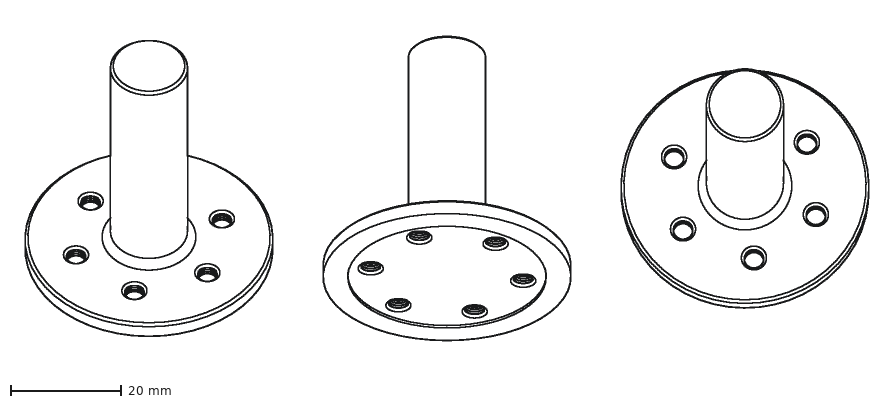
import cadquery as cq
import math

flange_diameter = 45.0
flange_thickness = 3.0
edge_chamfer = 0.5
recess_diameter = 36.0
recess_depth = 0.5

hole_count = 6
bolt_circle_radius = 14.0
thread_minor_diameter = 3.52
thread_major_diameter = 4.1
thread_pitch = 0.5
thread_count = 3
countersink_diameter = 4.55

overall_height = 47
post_diameter = 14.0
foot_height = 1.5


def revolve_profile(points):
    """Revolve a closed outline of (radius, height) points about the Z axis."""
    return cq.Workplane("XZ").polyline(points).close().revolve(360, (0, 0, 0), (0, 1, 0))


def make_hole_cutter():
    """Bore countersunk at both ends, with ring-shaped V grooves as a simple thread."""
    minor_radius = thread_minor_diameter / 2
    major_radius = thread_major_diameter / 2
    countersink_radius = countersink_diameter / 2
    countersink_depth = countersink_radius - minor_radius
    middle = (recess_depth + flange_thickness) / 2
    thread_start = middle - thread_count * thread_pitch / 2

    points = [
        (0, recess_depth),
        (countersink_radius, recess_depth),
        (minor_radius, recess_depth + countersink_depth),
    ]
    for turn in range(thread_count):
        groove_start = thread_start + turn * thread_pitch
        points.append((minor_radius, groove_start))
        points.append((major_radius, groove_start + thread_pitch / 2))
    points += [
        (minor_radius, thread_start + thread_count * thread_pitch),
        (minor_radius, flange_thickness - countersink_depth),
        (countersink_radius, flange_thickness),
        (0, flange_thickness),
    ]
    return revolve_profile(points)


def make_flange():
    """Round plate with a shallow recess underneath and a ring of threaded holes."""
    flange = cq.Workplane("XY").circle(flange_diameter / 2).extrude(flange_thickness)
    flange = flange.faces(">Z").edges().chamfer(edge_chamfer)
    flange = flange.cut(cq.Workplane("XY").circle(recess_diameter / 2).extrude(recess_depth))
    hole_cutter = make_hole_cutter()
    for index in range(hole_count):
        angle = 2 * math.pi * index / hole_count
        x = bolt_circle_radius * math.cos(angle)
        y = bolt_circle_radius * math.sin(angle)
        flange = flange.cut(hole_cutter.translate((x, y, 0)))
    return flange


def make_post():
    """Round post with a 45 degree flared foot that stands on the flange."""
    radius = post_diameter / 2
    return revolve_profile([
        (0, flange_thickness),
        (radius + foot_height, flange_thickness),
        (radius, flange_thickness + foot_height),
        (radius, overall_height - edge_chamfer),
        (radius - edge_chamfer, overall_height),
        (0, overall_height),
    ])


flange = make_flange()
post = make_post()
result = cq.Compound.makeCompound([flange.val(), post.val()])